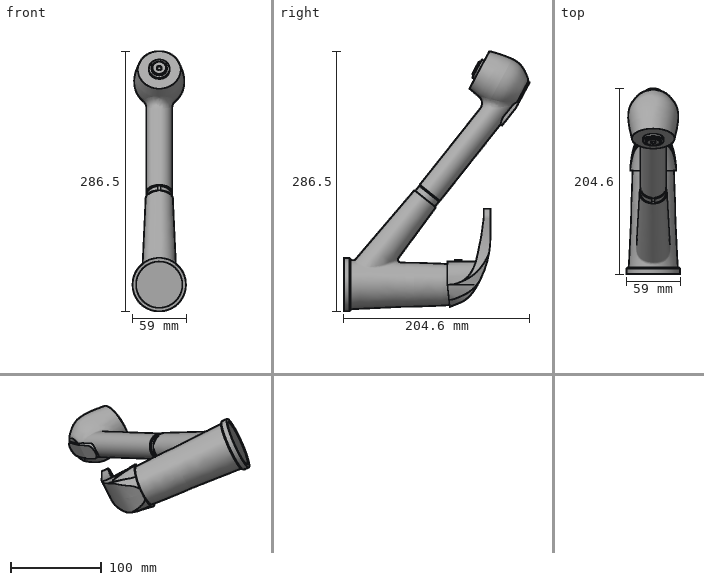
import cadquery as cq
import math

FLANGE_RADIUS = 29.5
FLANGE_LENGTH = 7.5
FLANGE_CHAMFER = 1.5
RECESS_RADIUS = 25.5
RECESS_DEPTH = 0.5
BODY_ROOT_RADIUS = 27.2
BAND_START = 68.0
BAND_END = 77.3
BAND_RADIUS = 24.3
CAP_LINE = 108.5
CAP_LINE_RADIUS = 23.2
CAP_END = 118.8
CAP_END_RADIUS = 22.3

LEVER_START = 114.0
SKIRT_RADIUS = 25.5
SKIRT_TIP_Y = 116.5
SKIRT_TIP_Z = -24.5
SKIRT_MID_Y = 143.0
SKIRT_MID_HALF_WIDTH = 20.3
SKIRT_END_HALF_WIDTH = 12.0
BLADE_TOP = 83.5
BLADE_HALF_WIDTH = 10.3
BLADE_FLARE_HALF_WIDTH = 13.7
BLADE_FLARE_Z = 31.5
BLADE_SHOULDER = BLADE_TOP - BLADE_HALF_WIDTH
RIM_STEP = 0.5
BLADE_INNER_Y = 153.8
BLADE_OUTER_Y = 161.5
BLADE_STRAIGHT_Z = 54.5
BACK_CURVE = [(150.5, 6.3), (132.3, -17.8), (SKIRT_TIP_Y, SKIRT_TIP_Z)]
RIM_TOP_CURVE = [(133.7, 6.3), (145.0, 24.3), (149.0, 43.0), (BLADE_INNER_Y, BLADE_SHOULDER)]
RIM_BOTTOM_CURVE = [(152.3, 9.2), (138.3, -7.7), (126.0, -14.0), (LEVER_START, -17.2)]
BUTTON_Y = 126.0
BUTTON_RADIUS = 3.7
BUTTON_HEIGHT = 1.7

SPOUT_ROOT_Y = 14.5
SPOUT_ANGLE = 51.6
SLEEVE_START = 8.5
SLEEVE_START_RADIUS = 19.2
SLEEVE_END = 120.5
SLEEVE_END_RADIUS = 15.2
SLEEVE_FILLET = 3.0
SLEEVE_JOINT_BOX = ((-23, 8.5, 14.3), (23, 63, 28.5))
WAND_START = 129.0
WAND_RADIUS = 14.3
COLLAR_RADIUS = 14.0
GROOVE_RADIUS = 13.2
GROOVE_WIDTH = 1.1
KEY_WIDTH = 3.7
KEY_DEPTH = 1.5
WAND_END = 266.3

FACE_Y = 149.2
FACE_Z = 236.3
HEAD_ANGLE = 28.1
FACE_RADIUS = 23.5
HEAD_RADIUS = 27.8
HEAD_WIDEST_DEPTH = 26.0
HEAD_DEPTH = 53.3
HEAD_BACK_RADIUS = 14.3
HEAD_SIDE_POINT = (14.0, 26.3)
HEAD_BACK_CURVE = [(38.7, 25.8), (49.3, 19.0), (HEAD_DEPTH, HEAD_BACK_RADIUS)]
NECK_FILLET = 9.5
NECK_BOX = ((-17.2, 154.5, 197.5), (17.2, 192, 203.3))
AERATOR_RADIUS = 11.5
AERATOR_HEIGHT = 3.0
NOZZLE_RADIUS = 8.5
NOZZLE_HEIGHT = 5.0
NOZZLE_CHAMFER = 1.1
NOZZLE_HOLE_RADIUS = 2.5
NOZZLE_HOLE_DEPTH = 2.0

PAD_THICKNESS = 2.0
PAD_WIDTH = 17.2
PAD_START = 236.3
PAD_END = 292.5
PAD_BLOCK_DEPTH = 20.0

spout_cos = math.cos(math.radians(SPOUT_ANGLE))
spout_sin = math.sin(math.radians(SPOUT_ANGLE))
head_cos = math.cos(math.radians(HEAD_ANGLE))
head_sin = math.sin(math.radians(HEAD_ANGLE))

spout_side = cq.Plane((0, SPOUT_ROOT_Y, 0), (0, spout_cos, spout_sin), (1, 0, 0))
head_side = cq.Plane((0, FACE_Y, FACE_Z), (0, head_cos, -head_sin), (1, 0, 0))
spout_back = cq.Plane((0, SPOUT_ROOT_Y, 0), (0, spout_cos, spout_sin), (0, spout_sin, -spout_cos))
head_face = cq.Plane((0, FACE_Y, FACE_Z), (1, 0, 0), (0, -head_cos, head_sin))


def turned(plane, outline):
    """Solid of revolution about local x from (axial position, radius) points."""
    start, end = outline[0][0], outline[-1][0]
    points = [(start, 0), *outline, (end, 0)]
    return cq.Workplane(plane).polyline(points).close().revolve(360, (0, 0, 0), (1, 0, 0))


def make_base():
    side = cq.Plane((0, 0, 0), (0, 1, 0), (1, 0, 0))
    base = turned(side, [
        (0, FLANGE_RADIUS),
        (FLANGE_LENGTH - FLANGE_CHAMFER, FLANGE_RADIUS),
        (FLANGE_LENGTH, FLANGE_RADIUS - FLANGE_CHAMFER),
        (FLANGE_LENGTH, BODY_ROOT_RADIUS),
        (BAND_START, BAND_RADIUS),
        (BAND_END, BAND_RADIUS),
        (CAP_LINE, CAP_LINE_RADIUS),
        (CAP_END, CAP_END_RADIUS),
    ])
    sleeve = turned(spout_side, [
        (SLEEVE_START, SLEEVE_START_RADIUS),
        (SLEEVE_END, SLEEVE_END_RADIUS),
    ])
    recess = cq.Workplane("XZ").circle(RECESS_RADIUS).extrude(-RECESS_DEPTH)
    joint = cq.selectors.BoxSelector(*SLEEVE_JOINT_BOX, boundingbox=True)
    base = base.union(sleeve)
    return base.edges(joint).edges("%BSPLINE").fillet(SLEEVE_FILLET).cut(recess)


def make_collar():
    collar = turned(spout_side, [
        (SLEEVE_END, COLLAR_RADIUS),
        (WAND_START - GROOVE_WIDTH, COLLAR_RADIUS),
        (WAND_START - GROOVE_WIDTH, GROOVE_RADIUS),
        (WAND_START, GROOVE_RADIUS),
    ])
    notch = (
        cq.Workplane(spout_side)
        .center((SLEEVE_END + WAND_START) / 2, COLLAR_RADIUS)
        .rect(WAND_START - SLEEVE_END, 2 * KEY_DEPTH)
        .extrude(KEY_WIDTH / 2, both=True)
    )
    return collar.cut(notch)


def extruded_across(outline):
    """Extrude a side outline over the whole width of the faucet."""
    return outline.extrude(FLANGE_RADIUS, both=True)


def make_hood(inset):
    """Hood behind the body: a circle that narrows to an ellipse at the blade."""
    return (
        cq.Workplane("XZ", origin=(0, LEVER_START, 0))
        .ellipse(SKIRT_RADIUS, SKIRT_RADIUS)
        .workplane(offset=LEVER_START - SKIRT_MID_Y)
        .ellipse(SKIRT_MID_HALF_WIDTH - inset, SKIRT_RADIUS)
        .workplane(offset=SKIRT_MID_Y - BLADE_OUTER_Y)
        .ellipse(SKIRT_END_HALF_WIDTH - inset, SKIRT_RADIUS)
        .loft()
    )


def make_strip():
    """Side shape of the blade and of the rims that run on from it along the skirt."""
    return extruded_across(
        cq.Workplane("YZ")
        .moveTo(LEVER_START, 0)
        .spline(RIM_TOP_CURVE, tangents=[(1, 0), (0.12, 1)], includeCurrent=True)
        .lineTo(BLADE_INNER_Y, BLADE_TOP)
        .lineTo(BLADE_OUTER_Y, BLADE_TOP)
        .lineTo(BLADE_OUTER_Y, BLADE_STRAIGHT_Z)
        .spline(RIM_BOTTOM_CURVE, tangents=[(0, -1), (-1, -0.1)], includeCurrent=True)
        .close()
    )


def make_blade_limits():
    """Upright shape that limits the blade: tapered in plan, flared from the tip in elevation."""
    plan = (
        cq.Workplane("XY")
        .moveTo(-SKIRT_RADIUS, LEVER_START)
        .threePointArc((-SKIRT_MID_HALF_WIDTH, SKIRT_MID_Y), (-SKIRT_END_HALF_WIDTH, BLADE_OUTER_Y))
        .lineTo(SKIRT_END_HALF_WIDTH, BLADE_OUTER_Y)
        .threePointArc((SKIRT_MID_HALF_WIDTH, SKIRT_MID_Y), (SKIRT_RADIUS, LEVER_START))
        .close()
        .extrude(BLADE_TOP)
    )
    front = (
        cq.Workplane("XZ", origin=(0, LEVER_START, 0))
        .moveTo(-SKIRT_RADIUS, 0)
        .threePointArc((-BLADE_FLARE_HALF_WIDTH, BLADE_FLARE_Z), (-BLADE_HALF_WIDTH, BLADE_SHOULDER))
        .threePointArc((0, BLADE_TOP), (BLADE_HALF_WIDTH, BLADE_SHOULDER))
        .threePointArc((BLADE_FLARE_HALF_WIDTH, BLADE_FLARE_Z), (SKIRT_RADIUS, 0))
        .close()
        .extrude(LEVER_START - BLADE_OUTER_Y)
    )
    return plan.intersect(front)


def make_lever():
    outer_side = extruded_across(
        cq.Workplane("YZ")
        .moveTo(LEVER_START, 0)
        .lineTo(LEVER_START, BLADE_TOP)
        .lineTo(BLADE_OUTER_Y, BLADE_TOP)
        .lineTo(BLADE_OUTER_Y, BLADE_STRAIGHT_Z)
        .spline(BACK_CURVE, tangents=[(0, -1), (-1, -0.45)], includeCurrent=True)
        .close()
    )
    strip = make_strip()
    skirt = make_hood(RIM_STEP)
    rims = make_hood(0).intersect(strip)
    blade = make_blade_limits().intersect(strip)
    button = (
        cq.Workplane("XY", origin=(0, BUTTON_Y, 0))
        .circle(BUTTON_RADIUS)
        .extrude(SKIRT_RADIUS + BUTTON_HEIGHT)
    )
    return skirt.union(rims).union(blade).intersect(outer_side).union(button)


def make_head():
    """Bulb turned from the flat spray face to a rounded, flat-ended back."""
    return (
        cq.Workplane(head_side)
        .lineTo(0, FACE_RADIUS)
        .threePointArc(HEAD_SIDE_POINT, (HEAD_WIDEST_DEPTH, HEAD_RADIUS))
        .spline(HEAD_BACK_CURVE, tangents=[(1, 0), (0.5, -1)], includeCurrent=True)
        .lineTo(HEAD_DEPTH, 0)
        .close()
        .revolve(360, (0, 0, 0), (1, 0, 0))
    )


def join_head_and_tube():
    """Head blended onto its tube, which is trimmed level with the flat back of the head."""
    tube = turned(spout_side, [(WAND_START, WAND_RADIUS), (WAND_END, WAND_RADIUS)])
    beyond_back = (
        cq.Workplane(head_face)
        .workplane(offset=-HEAD_DEPTH)
        .circle(2 * HEAD_RADIUS)
        .extrude(-HEAD_RADIUS)
    )
    joined = make_head().union(tube.cut(beyond_back))
    neck = cq.selectors.BoxSelector(*NECK_BOX, boundingbox=True)
    return joined.edges(neck).edges("%BSPLINE").fillet(NECK_FILLET)


def add_pad(wand):
    """Round-ended strip over the flat back of the head that bends onto the wand."""
    middle = (PAD_START + PAD_END) / 2
    along_wand = (
        cq.Workplane(spout_back)
        .center(middle, 0)
        .slot2D(PAD_END - PAD_START, PAD_WIDTH)
        .extrude(WAND_RADIUS + PAD_THICKNESS)
    )
    above_head_back = (
        cq.Workplane(head_face)
        .workplane(offset=-HEAD_DEPTH - PAD_THICKNESS)
        .circle(PAD_END - PAD_START)
        .extrude(PAD_BLOCK_DEPTH)
    )
    return wand.union(along_wand.intersect(above_head_back))


def add_aerator(wand):
    ring = cq.Workplane(head_face).circle(AERATOR_RADIUS).extrude(AERATOR_HEIGHT)
    nozzle = cq.Workplane(head_face).circle(NOZZLE_RADIUS).extrude(NOZZLE_HEIGHT)
    nozzle = nozzle.faces(cq.selectors.DirectionMinMaxSelector(head_face.zDir)).chamfer(NOZZLE_CHAMFER)
    hole = (
        cq.Workplane(head_face).workplane(offset=NOZZLE_HEIGHT)
        .circle(NOZZLE_HOLE_RADIUS)
        .extrude(-NOZZLE_HOLE_DEPTH)
    )
    return wand.union(ring).union(nozzle).cut(hole)


def make_faucet():
    return make_base().union(make_collar()).union(make_lever())


def make_spray_wand():
    return add_aerator(add_pad(join_head_and_tube()))


faucet = make_faucet()
spray_wand = make_spray_wand()
result = cq.Compound.makeCompound([faucet.val(), spray_wand.val()])